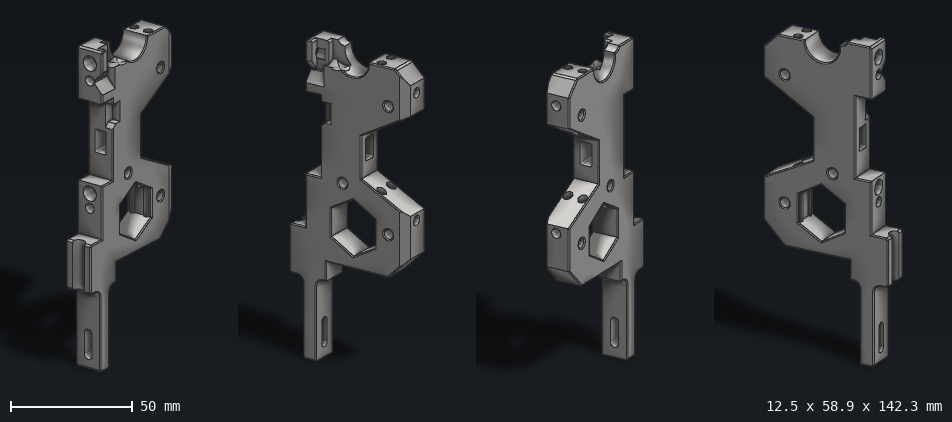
import cadquery as cq
import math

thickness = 12.5
depth = 58.9
height = 142.3
half_thickness = thickness / 2
edge_chamfer = 0.5
corner_chamfer = 0.9

stem_front = 6.8
stem_back = 13.2
stem_fillet = 3.5
grooved_bottom = 36.7
grooved_top = 58.8
grooved_back = 18.1
groove_diameter = 6.0

block_front = 8.0
neck_front = 15.5
lower_block_top = 82.5
upper_block_bottom = 119.0

lower_lobe_bottom = 45.5
lower_lobe_corner = 10.0
lower_lobe_top = 74.6
neck_back = 35.6
neck_bottom = 86.4
neck_top = 105.6
upper_lobe_bottom = 119.0
upper_lobe_top = 139.2
upper_lobe_corner = 6.4
upper_lobe_bevel = 0.5

saddle_y = 31.2
saddle_z = upper_lobe_top
saddle_radius = 8.3
saddle_front = saddle_y - saddle_radius
step_top = 140.3
step_start = 19.4
step_sag_y = 20.8
step_sag_z = 140.9

hex_y = 31.6
hex_z = 63.6
hex_flats = 21.9

cross_hole_diameter = 4.4
cross_holes = [(49.0, 121.8), (26.3, 82.4), (49.0, 64.8)]
front_hole_diameter = 4.4
front_hole_levels = [128.1, 71.3]
blind_hole_diameter = 6.7
blind_hole_depth = 7.1
blind_hole_levels = [135.8, 77.9]
vertical_hole_diameter = 4.0
vertical_hole_x = 3.5
vertical_hole_y = 44.0

window_width = 5.7
window_height = 10.4
window_radius = 0.9
window_z = 98.4
stem_slot_width = 4.0
stem_slot_length = 13.4
stem_slot_z = 11.1

notch_z = 128.1
notch_depth = 4.4
notch_half_height = 5.0
wire_slot_x = 2.4
wire_slot_front = 11.2
neck_pocket_bottom = 105.3
neck_pocket_top = 116.5
neck_pocket_depth = 5.1
neck_pocket_lip = 2.0
seat_x = -0.7
seat_front = 17.1
seat_radius = 5.7
seat_center_x = 3.3
seat_center_y = 23.0
seat_floor = 132.0
rim_chamfer = 0.9
back_relief_x = 1.7
back_relief_y = 4.3


def box(x0, x1, y0, y1, z0, z1):
    """Block between two opposite corners."""
    return cq.Workplane("XY").box(x1 - x0, y1 - y0, z1 - z0, centered=False).translate((x0, y0, z0))


def front_plane(y=0.0):
    """Plane facing -Y, with local axes along X and Z."""
    return cq.Workplane("XZ", origin=(0, y, 0))


def side_plane():
    """Plane of the -X side, with local axes along Y and Z."""
    return cq.Workplane("YZ", origin=(-half_thickness, 0, 0))


def body():
    """Flat plate with its outline, saddle, window and cross holes, chamfered on both sides."""
    fillet_mid = stem_fillet * (1 - math.sqrt(0.5))
    fillet_low = grooved_bottom - stem_fillet
    outline = (
        side_plane()
        .moveTo(stem_front + corner_chamfer, 0)
        .lineTo(stem_front, corner_chamfer)
        .lineTo(stem_front, fillet_low)
        .threePointArc(
            (stem_front - fillet_mid, grooved_bottom - fillet_mid),
            (stem_front - stem_fillet, grooved_bottom),
        )
        .lineTo(corner_chamfer, grooved_bottom)
        .lineTo(0, grooved_bottom + corner_chamfer)
        .lineTo(0, grooved_top - corner_chamfer)
        .lineTo(corner_chamfer, grooved_top)
        .lineTo(block_front, grooved_top)
        .lineTo(block_front, lower_block_top)
        .lineTo(neck_front, lower_block_top)
        .lineTo(neck_front, upper_block_bottom)
        .lineTo(block_front, upper_block_bottom)
        .lineTo(block_front, height - corner_chamfer)
        .lineTo(block_front + corner_chamfer, height)
        .lineTo(step_start, height)
        .threePointArc((step_sag_y, step_sag_z), (saddle_front, step_top))
        .lineTo(saddle_front, saddle_z)
        .threePointArc((saddle_y, saddle_z - saddle_radius), (saddle_y + saddle_radius, saddle_z))
        .lineTo(depth - upper_lobe_corner - upper_lobe_bevel, upper_lobe_top)
        .lineTo(depth - upper_lobe_corner + upper_lobe_bevel, upper_lobe_top - upper_lobe_bevel)
        .lineTo(depth, upper_lobe_top - upper_lobe_corner)
        .lineTo(depth, upper_lobe_bottom)
        .lineTo(neck_back, neck_top)
        .lineTo(neck_back, neck_bottom)
        .lineTo(depth, lower_lobe_top)
        .lineTo(depth, lower_lobe_bottom + lower_lobe_corner)
        .lineTo(depth - lower_lobe_corner, lower_lobe_bottom)
        .lineTo(grooved_back, lower_lobe_bottom)
        .lineTo(grooved_back, grooved_bottom)
        .lineTo(stem_back + stem_fillet, grooved_bottom)
        .threePointArc(
            (stem_back + fillet_mid, grooved_bottom - fillet_mid),
            (stem_back, fillet_low),
        )
        .lineTo(stem_back, 0)
        .close()
    )
    plate = outline.extrude(thickness)
    window = (
        side_plane()
        .center(hex_y, hex_z)
        .polygon(6, hex_flats, circumscribed=True)
        .extrude(thickness)
    )
    holes = side_plane().pushPoints(cross_holes).circle(cross_hole_diameter / 2).extrude(thickness)
    return plate.cut(window).cut(holes).faces("<X or >X").edges().chamfer(edge_chamfer)


def front_cuts():
    """Holes and slots along Y, and the round groove down the front block."""
    through = front_plane().pushPoints([(0, z) for z in front_hole_levels])
    cuts = through.circle(front_hole_diameter / 2).extrude(-depth)
    blind = front_plane(block_front).pushPoints([(0, z) for z in blind_hole_levels])
    cuts = cuts.union(blind.circle(blind_hole_diameter / 2).extrude(-blind_hole_depth))
    window = front_plane().center(0, window_z).rect(window_width, window_height).extrude(-depth)
    cuts = cuts.union(window.edges("|Y").fillet(window_radius))
    stem_slot = front_plane().center(0, stem_slot_z).slot2D(stem_slot_length, stem_slot_width, 90)
    cuts = cuts.union(stem_slot.extrude(-depth))
    groove = cq.Workplane("XY", origin=(0, 0, grooved_bottom)).circle(groove_diameter / 2)
    return cuts.union(groove.extrude(grooved_top - grooved_bottom))


def vertical_holes():
    """Pair of holes along Z through both lobes, which also score the window wall."""
    points = [(side * vertical_hole_x, vertical_hole_y) for side in (-1, 1)]
    return cq.Workplane("XY").pushPoints(points).circle(vertical_hole_diameter / 2).extrude(height)


def saddle_seat():
    """Recess in front of the saddle, open to the top, floored by two crossing cylinders."""
    axis_z = seat_floor + seat_radius
    seat_back = saddle_y
    along_x = cq.Workplane("YZ", origin=(seat_x, 0, 0)).center(seat_center_y, axis_z)
    along_y = front_plane(seat_front).center(seat_center_x, axis_z)
    floor = along_x.circle(seat_radius).extrude(half_thickness - seat_x)
    floor = floor.union(along_y.circle(seat_radius).extrude(seat_front - seat_back))
    shaft = box(seat_x, half_thickness, seat_front, seat_back, axis_z, height)
    limits = box(seat_x, half_thickness, seat_front, seat_back, 0, height)
    return floor.union(shaft).intersect(limits)


def side_recesses():
    """V notch, wire slot and neck pocket, all open on the +X side."""
    notch = (
        front_plane(block_front)
        .moveTo(half_thickness - notch_depth, notch_z)
        .lineTo(half_thickness, notch_z + notch_half_height)
        .lineTo(half_thickness, notch_z - notch_half_height)
        .close()
        .extrude(block_front - seat_front)
    )
    wire_slot = box(wire_slot_x, half_thickness, wire_slot_front, seat_front, notch_z, height)
    neck_pocket = (
        cq.Workplane("YZ", origin=(wire_slot_x, 0, 0))
        .moveTo(neck_front, neck_pocket_bottom)
        .lineTo(neck_front + neck_pocket_lip, neck_pocket_bottom + neck_pocket_lip)
        .lineTo(neck_front + neck_pocket_depth, neck_pocket_bottom + neck_pocket_lip)
        .lineTo(neck_front + neck_pocket_depth, neck_pocket_top)
        .lineTo(neck_front, neck_pocket_top)
        .close()
        .extrude(half_thickness - wire_slot_x)
    )
    return notch.union(wire_slot).union(neck_pocket)


def rim_bevel(x, y):
    """Bevel at the top of the front wall at y, from x out to the +X side."""
    return (
        cq.Workplane("YZ", origin=(x, 0, 0))
        .moveTo(y - rim_chamfer, height)
        .lineTo(y, height)
        .lineTo(y, height - rim_chamfer)
        .close()
        .extrude(half_thickness - x)
    )


def back_relief():
    """Shallow slope along the rear +X edge of both lobes."""
    return (
        cq.Workplane("XY")
        .moveTo(half_thickness, depth)
        .lineTo(half_thickness - back_relief_x, depth)
        .lineTo(half_thickness, depth - back_relief_y)
        .close()
        .extrude(height)
    )


result = body().cut(front_cuts()).cut(vertical_holes())
result = result.cut(saddle_seat()).cut(side_recesses()).cut(back_relief())
result = result.cut(rim_bevel(seat_x, seat_front)).cut(rim_bevel(wire_slot_x, wire_slot_front))